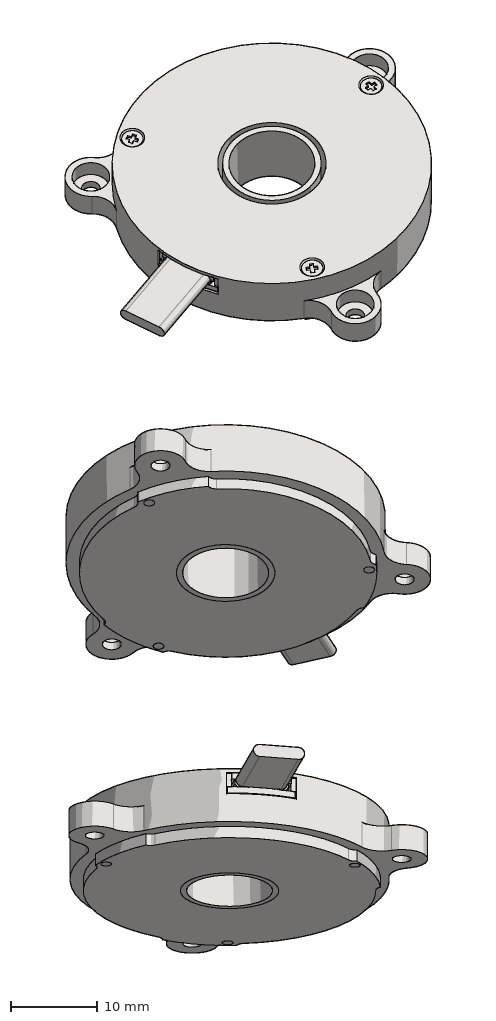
import cadquery as cq
import math

TOTAL_HEIGHT = 8.0
BASE_HEIGHT = 1.4
EAR_HEIGHT = 3.1

HOUSING_RADIUS = 18.5
BORE_RADIUS = 6.25
FEET = 3
FIRST_FOOT_ANGLE = 90
EAR_CIRCLE_RADIUS = 20.95
EAR_RADIUS = 3.0
EAR_FILLET = 2.8
EAR_HOLE_RADIUS = 1.1
EAR_COUNTERBORE_RADIUS = 2.2
EAR_COUNTERBORE_DEPTH = 2.05

BASE_RADIUS = 16.95
LOBE_RADIUS = 17.5
LOBE_HALF_ANGLE = 17.4
LOBE_FILLET = 1.0

HUB_RADIUS = 5.7
HUB_BORE_RADIUS = 4.95

SCREW_CIRCLE_RADIUS = 16.6
SCREW_ANGLE = 78.9
SCREW_HEAD_RADIUS = 1.25
SCREW_HEAD_HEIGHT = 1.05
SCREW_SHANK_RADIUS = 0.6
SCREW_SINK = 0.18
CROSS_LENGTH = 1.35
CROSS_WIDTH = 0.45
CROSS_DEPTH = 0.25
CROSS_TURN = -8

WINDOW_WIDTH = 8.3
WINDOW_TOP = 7.5
WINDOW_FLOOR_RADIUS = 18.1
BOARD_CLEARANCE = 0.15
BOARD_TOP = 5.8
BOARD_THICKNESS = 0.8
BOARD_EDGE_RADIUS = 18.35
BOARD_BACK = 10.35
BOARD_WIDTH = WINDOW_WIDTH - 2 * BOARD_CLEARANCE
BOARD_BOTTOM = BOARD_TOP - BOARD_THICKNESS
WINDOW_BOTTOM = BOARD_BOTTOM - BOARD_CLEARANCE

CONNECTOR_WIDTH = 7.05
CONNECTOR_LOWER_WIDTH = 6.3
CONNECTOR_STEP = 6.75
CONNECTOR_BEVEL_WIDTH = 0.25
CONNECTOR_BEVEL_HEIGHT = 0.35
CONNECTOR_FRONT = 18.0
CONNECTOR_BACK = 12.45

PLUG_WIDTH = 6.05
PLUG_THICKNESS = 1.5
PLUG_LENGTH = 13.45
PLUG_TIP = 27.8
PLUG_CENTRE_Z = (BOARD_TOP + WINDOW_TOP) / 2


def ring_angles(first_angle):
    return [first_angle + i * 360 / FEET for i in range(FEET)]


def disc(radius, bottom, top):
    return cq.Workplane("XY").workplane(offset=bottom).circle(radius).extrude(top - bottom)


def block(width, back, front, bottom, top):
    """Block centred on X that reaches toward -Y from y = -back to y = -front."""
    return (
        cq.Workplane("XY")
        .workplane(offset=bottom)
        .center(0, -(back + front) / 2)
        .rect(width, front - back)
        .extrude(top - bottom)
    )


def turned(shape, angle):
    return shape.rotate((0, 0, 0), (0, 0, 1), angle)


def make_screw():
    """Cross-recess screw standing on the Z axis, its head sunk below the top face."""
    head_top = TOTAL_HEIGHT - SCREW_SINK
    screw = disc(SCREW_SHANK_RADIUS, 0, head_top)
    screw = screw.union(disc(SCREW_HEAD_RADIUS, head_top - SCREW_HEAD_HEIGHT, head_top))
    for length, width in ((CROSS_LENGTH, CROSS_WIDTH), (CROSS_WIDTH, CROSS_LENGTH)):
        slot = (
            cq.Workplane("XY")
            .workplane(offset=head_top)
            .rect(length, width)
            .extrude(-CROSS_DEPTH)
        )
        screw = screw.cut(turned(slot, CROSS_TURN))
    return screw


def make_screw_hole():
    """Space for one screw on the Z axis, flared at the top face."""
    head_top = TOTAL_HEIGHT - SCREW_SINK
    flare = (
        cq.Workplane("XY")
        .workplane(offset=head_top)
        .circle(SCREW_HEAD_RADIUS)
        .workplane(offset=SCREW_SINK)
        .circle(SCREW_HEAD_RADIUS + SCREW_SINK)
        .loft()
    )
    head = disc(SCREW_HEAD_RADIUS, head_top - SCREW_HEAD_HEIGHT, head_top)
    return disc(SCREW_SHANK_RADIUS, 0, head_top).union(head).union(flare)


def at_screw_places(shape):
    placed = shape.translate((SCREW_CIRCLE_RADIUS, 0, 0))
    return [turned(placed, angle) for angle in ring_angles(SCREW_ANGLE)]


def make_lobe():
    """Sector on the +X side, wider than the base plate, running into it by concave arcs."""
    half = math.radians(LOBE_HALF_ANGLE)
    x, y = LOBE_RADIUS * math.cos(half), LOBE_RADIUS * math.sin(half)
    lobe = (
        cq.Workplane("XY")
        .lineTo(x, -y)
        .threePointArc((LOBE_RADIUS, 0), (x, y))
        .close()
        .extrude(BASE_HEIGHT)
    )
    cutter = disc(LOBE_FILLET, 0, BASE_HEIGHT).translate((BASE_RADIUS + LOBE_FILLET, 0, 0))
    for angle in (-LOBE_HALF_ANGLE, LOBE_HALF_ANGLE):
        lobe = lobe.cut(turned(cutter, angle))
    return lobe


def make_base():
    base = disc(BASE_RADIUS, 0, BASE_HEIGHT)
    for angle in ring_angles(FIRST_FOOT_ANGLE):
        base = base.union(turned(make_lobe(), angle))
    base = base.cut(disc(HUB_RADIUS, 0, BASE_HEIGHT))
    for hole in at_screw_places(make_screw_hole()):
        base = base.cut(hole)
    return base


def make_hub():
    return disc(HUB_RADIUS, 0, TOTAL_HEIGHT).cut(disc(HUB_BORE_RADIUS, 0, TOTAL_HEIGHT))


def make_plug():
    return (
        cq.Workplane("XZ", origin=(0, -PLUG_TIP + PLUG_LENGTH, PLUG_CENTRE_Z))
        .slot2D(PLUG_WIDTH, PLUG_THICKNESS)
        .extrude(PLUG_LENGTH)
    )


def make_connector():
    upper = CONNECTOR_WIDTH / 2
    lower = CONNECTOR_LOWER_WIDTH / 2
    bottom = lower - CONNECTOR_BEVEL_WIDTH
    bevel_top = BOARD_TOP + CONNECTOR_BEVEL_HEIGHT
    right_side = [
        (bottom, BOARD_TOP),
        (lower, bevel_top),
        (lower, CONNECTOR_STEP),
        (upper, CONNECTOR_STEP),
        (upper, WINDOW_TOP),
    ]
    left_side = [(-x, z) for x, z in reversed(right_side)]
    connector = (
        cq.Workplane("XZ", origin=(0, -CONNECTOR_BACK, 0))
        .polyline(right_side + left_side)
        .close()
        .extrude(CONNECTOR_FRONT - CONNECTOR_BACK)
    )
    return connector.cut(make_plug())


def make_board():
    board = block(BOARD_WIDTH, BOARD_BACK, HOUSING_RADIUS, BOARD_BOTTOM, BOARD_TOP)
    return board.intersect(disc(BOARD_EDGE_RADIUS, BOARD_BOTTOM, BOARD_TOP))


def make_ear():
    """Ear on the +X side, joined to the housing by arcs tangent to its round end and to the housing."""
    rim_distance = HOUSING_RADIUS + EAR_FILLET
    ear_distance = EAR_RADIUS + EAR_FILLET
    blend_x = (rim_distance**2 + EAR_CIRCLE_RADIUS**2 - ear_distance**2) / (2 * EAR_CIRCLE_RADIUS)
    blend_y = math.sqrt(rim_distance**2 - blend_x**2)

    to_rim = math.atan2(-blend_y, -blend_x)
    to_ear = math.atan2(-blend_y, EAR_CIRCLE_RADIUS - blend_x)
    rim_x, rim_y = point_on_arc(blend_x, blend_y, to_rim)
    middle_x, middle_y = point_on_arc(blend_x, blend_y, (to_rim + to_ear) / 2)
    ear_x, ear_y = point_on_arc(blend_x, blend_y, to_ear)
    return (
        cq.Workplane("XY")
        .workplane(offset=BASE_HEIGHT)
        .lineTo(rim_x, -rim_y)
        .threePointArc((middle_x, -middle_y), (ear_x, -ear_y))
        .threePointArc((EAR_CIRCLE_RADIUS + EAR_RADIUS, 0), (ear_x, ear_y))
        .threePointArc((middle_x, middle_y), (rim_x, rim_y))
        .close()
        .extrude(EAR_HEIGHT)
    )


def point_on_arc(centre_x, centre_y, direction):
    return (
        centre_x + EAR_FILLET * math.cos(direction),
        centre_y + EAR_FILLET * math.sin(direction),
    )


def make_ear_hole():
    ear_top = BASE_HEIGHT + EAR_HEIGHT
    hole = disc(EAR_HOLE_RADIUS, BASE_HEIGHT, ear_top)
    hole = hole.union(disc(EAR_COUNTERBORE_RADIUS, ear_top - EAR_COUNTERBORE_DEPTH, ear_top))
    return hole.translate((EAR_CIRCLE_RADIUS, 0, 0))


def make_window():
    """Shallow window with a curved floor, and the deeper pocket for the connector."""
    window = block(WINDOW_WIDTH, BOARD_BACK, HOUSING_RADIUS, WINDOW_BOTTOM, WINDOW_TOP)
    window = window.cut(disc(WINDOW_FLOOR_RADIUS, WINDOW_BOTTOM, WINDOW_TOP))
    pocket = block(CONNECTOR_WIDTH, CONNECTOR_BACK, HOUSING_RADIUS, BOARD_TOP, WINDOW_TOP)
    return window.union(pocket)


def make_housing():
    housing = disc(HOUSING_RADIUS, BASE_HEIGHT, TOTAL_HEIGHT)
    for angle in ring_angles(FIRST_FOOT_ANGLE):
        housing = housing.union(turned(make_ear(), angle))
    for angle in ring_angles(FIRST_FOOT_ANGLE):
        housing = housing.cut(turned(make_ear_hole(), angle))
    housing = housing.cut(disc(BORE_RADIUS, BASE_HEIGHT, TOTAL_HEIGHT))
    for hole in at_screw_places(make_screw_hole()):
        housing = housing.cut(hole)
    return housing.cut(make_window()).cut(make_board())


housing = make_housing()
base = make_base()
hub = make_hub()
board = make_board()
connector = make_connector()
plug = make_plug()
screws = at_screw_places(make_screw())

result = cq.Compound.makeCompound(
    [
        housing.val(),
        base.val(),
        hub.val(),
        board.val(),
        connector.val(),
        plug.val(),
        *[screw.val() for screw in screws],
    ]
)